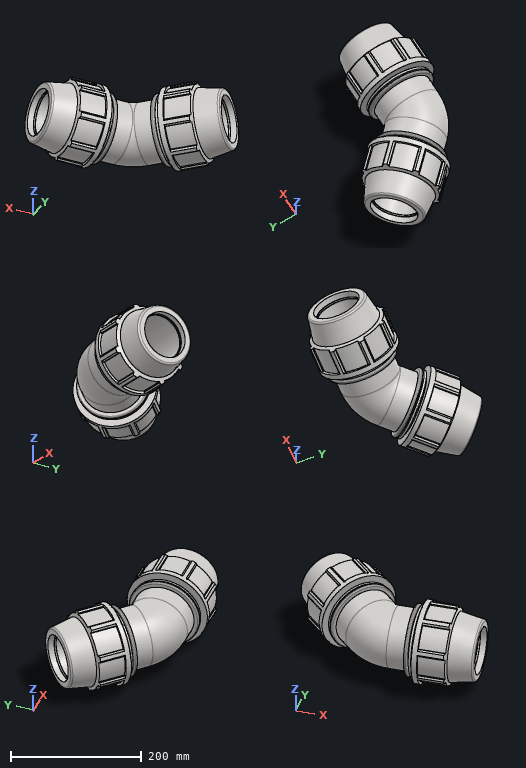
import cadquery as cq

BEND_ANGLE = 45
BEND_RADIUS = 51.8

PIPE_RADIUS = 99.0 / 2
BORE_RADIUS = 75.0 / 2

ROUNDED_RING_START = 29.0
ROUNDED_RING_WIDTH = 5.5
ROUNDED_RING_RADIUS = 115.0 / 2
ROUNDED_RING_FILLET = 1.8
PLAIN_RING_START = 36.5
PLAIN_RING_WIDTH = 4.0
PLAIN_RING_RADIUS = 112.5 / 2

NUT_START = 43.5
NUT_RADIUS = 132.0 / 2
FLANGE_WIDTH = 8.8
RIB_END = 94.0
SHOULDER_END = 97.8
SHOULDER_RADIUS = 55.8
ARM_LENGTH = 137.5
TIP_RADIUS = 48.8
TIP_FILLET = 3.0

RIB_COUNT = 8
PANEL_RADIUS = 61.5
RIB_TOP_WIDTH = 6.5
RIB_BASE_WIDTH = 11.3
RIB_STEP_HEIGHT = 1.5
CUT_OVERLAP = 3.0

RIDGE_HEIGHT = 1.0
RIDGE_WIDTH = 3.0
RIDGE_DISTANCE_FROM_TIP = 10.5


def cylinder_along_x(start, length, radius):
    return cq.Workplane("YZ", origin=(start, 0, 0)).circle(radius).extrude(length)


def nut_blank():
    """Full-round nut with a steep shoulder and a tapered, rounded tip."""
    profile = (
        cq.Workplane("XY")
        .moveTo(NUT_START, 0)
        .lineTo(NUT_START, NUT_RADIUS)
        .lineTo(RIB_END, NUT_RADIUS)
        .lineTo(SHOULDER_END, SHOULDER_RADIUS)
        .lineTo(ARM_LENGTH, TIP_RADIUS)
        .lineTo(ARM_LENGTH, 0)
        .close()
    )
    return profile.revolve(360, (0, 0, 0), (1, 0, 0)).faces(">X").edges().fillet(TIP_FILLET)


def panel_cutter():
    """Ring around the nut between flange and shoulder, with the tapered ribs taken out of it."""
    start = NUT_START + FLANGE_WIDTH
    length = SHOULDER_END - start
    outer_radius = NUT_RADIUS + CUT_OVERLAP
    ring = cq.Workplane("YZ", origin=(start, 0, 0)).circle(outer_radius).circle(PANEL_RADIUS).extrude(length)

    inner_radius = PANEL_RADIUS - CUT_OVERLAP
    step_radius = PANEL_RADIUS + RIB_STEP_HEIGHT
    half_base = RIB_BASE_WIDTH / 2
    half_top = RIB_TOP_WIDTH / 2
    rib = (
        cq.Workplane("YZ", origin=(start, 0, 0))
        .moveTo(inner_radius, -half_base)
        .lineTo(step_radius, -half_base)
        .lineTo(NUT_RADIUS, -half_top)
        .lineTo(outer_radius, -half_top)
        .lineTo(outer_radius, half_top)
        .lineTo(NUT_RADIUS, half_top)
        .lineTo(step_radius, half_base)
        .lineTo(inner_radius, half_base)
        .close()
        .extrude(length)
    )
    pitch = 360 / RIB_COUNT
    for index in range(RIB_COUNT):
        ring = ring.cut(rib.rotate((0, 0, 0), (1, 0, 0), (index + 0.5) * pitch))
    return ring


def arm_body():
    """Solid arm 1: pipe end, two rings and the ribbed nut."""
    rounded_ring = cylinder_along_x(ROUNDED_RING_START, ROUNDED_RING_WIDTH, ROUNDED_RING_RADIUS)
    rounded_ring = rounded_ring.edges().fillet(ROUNDED_RING_FILLET)
    plain_ring = cylinder_along_x(PLAIN_RING_START, PLAIN_RING_WIDTH, PLAIN_RING_RADIUS)
    pipe = cylinder_along_x(0, NUT_START, PIPE_RADIUS)
    nut = nut_blank().cut(panel_cutter())
    return nut.union(pipe).union(rounded_ring).union(plain_ring)


def arm_bore():
    """Space inside an arm: a round bore pinched by the ridge."""
    bore = cylinder_along_x(0, ARM_LENGTH, BORE_RADIUS)
    ridge_start = ARM_LENGTH - RIDGE_DISTANCE_FROM_TIP - RIDGE_WIDTH
    ridge_core = cylinder_along_x(ridge_start, RIDGE_WIDTH, BORE_RADIUS - RIDGE_HEIGHT)
    ridge = cylinder_along_x(ridge_start, RIDGE_WIDTH, BORE_RADIUS).cut(ridge_core)
    return bore.cut(ridge)


def bend(radius):
    """Round bar swept through the bend, starting at the origin."""
    section = cq.Workplane("YZ").circle(radius)
    return section.revolve(BEND_ANGLE, (BEND_RADIUS, 0, 0), (BEND_RADIUS, -1, 0))


def second_arm(arm):
    """Carry an arm-1 shape to the far end of the bend."""
    mirrored = arm.mirror("YZ")
    return mirrored.rotate((0, BEND_RADIUS, 0), (0, BEND_RADIUS, 1), -BEND_ANGLE)


def both_arms_with_bend(arm, bend_radius):
    return bend(bend_radius).union(arm).union(second_arm(arm))


result = both_arms_with_bend(arm_body(), PIPE_RADIUS).cut(both_arms_with_bend(arm_bore(), BORE_RADIUS))